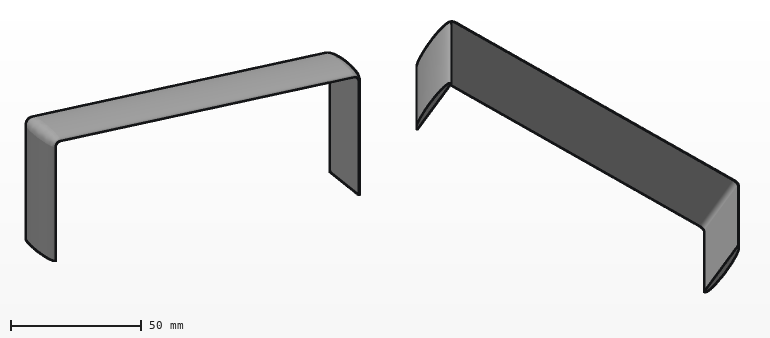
import cadquery as cq

length = 135.2
width = 24.0
height = 52.3

thickness = 2.3
edge_height = 0.3

inner_bend_radius = 2.0

half_width = width / 2
inner_half_length = length / 2 - thickness
inner_top = height - thickness
crown_height = thickness - edge_height


def strip_section():
    """Closed section at the foot of the -Y leg, with its crown facing -Y."""
    inner_y = -inner_half_length
    edge_y = inner_y - edge_height
    return (
        cq.Workplane("XY")
        .moveTo(-half_width, inner_y)
        .lineTo(-half_width, edge_y)
        .ellipseArc(half_width, crown_height, 180, 360)
        .lineTo(half_width, inner_y)
        .close()
    )


def inner_path():
    """Path of the flat inner face: up one leg, across, and down the other."""
    bend_y = inner_half_length - inner_bend_radius
    bend_z = inner_top - inner_bend_radius
    return (
        cq.Workplane("YZ")
        .moveTo(-inner_half_length, 0)
        .lineTo(-inner_half_length, bend_z)
        .radiusArc((-bend_y, inner_top), inner_bend_radius)
        .lineTo(bend_y, inner_top)
        .radiusArc((inner_half_length, bend_z), inner_bend_radius)
        .lineTo(inner_half_length, 0)
    )


result = strip_section().sweep(inner_path())